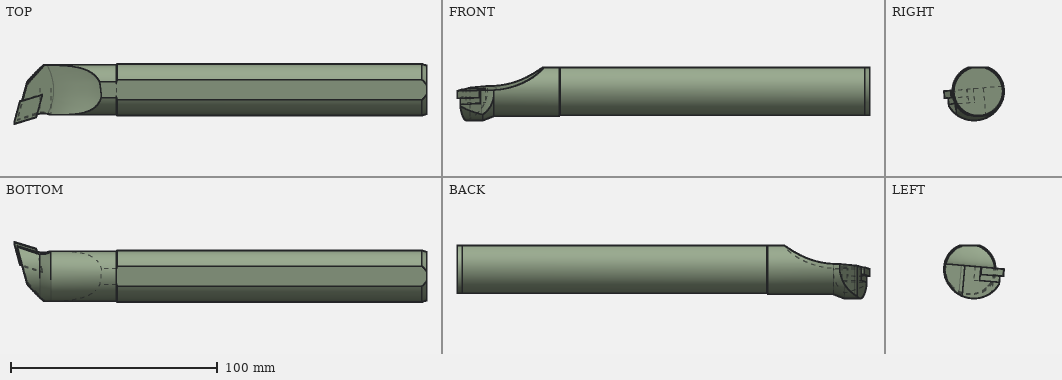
import cadquery as cq
import math

length = 199.5
shank_radius = 12.5
flat_height = 11.5
shank_start = 49.3
step_chamfer = 0.5
end_taper_length = 2.4
end_taper_depth = 0.8

neck_radius = 12.2
head_radius = 14.2
head_offset = neck_radius - head_radius
head_end = 12.4
neck_start = 17.5
clear = 40.0

rake_angle = 5.0
rake_height = 1.5

back_corner = (14.8, 12.2)
front_bevel_start = (7.5, 4.2)
front_bevel_end = (6.2, 2.4)
holder_nose = (1.4, -15.0)
relief_end_x = 11.5
relief_arc_middle = (14.5, -11.5)

gullet_edge_x = 19.0
gullet_edge_radius = 24.7
gullet_length = 23.0
gullet_sweep = 80.0
gullet_axis_x = gullet_edge_x - gullet_edge_radius
gullet_rise = flat_height - rake_height
gullet_radius = (gullet_length**2 + gullet_rise**2) / (2 * gullet_rise)

end_edge_angle = 17.0
side_edge_angle = 15.0
plate_side = 11.4
plate_thickness = 3.5
foot_side = 10.0
foot_thickness = 3.0
sharp_corner = (-0.2, -16.8)

end_direction = cq.Vector(math.cos(math.radians(end_edge_angle)), math.sin(math.radians(end_edge_angle)))
side_direction = cq.Vector(math.sin(math.radians(side_edge_angle)), math.cos(math.radians(side_edge_angle)))


def to_rake(body):
    """Move a body built on the XY plane onto the rake face."""
    return body.rotate((0, 0, 0), (1, 0, 0), rake_angle).translate((0, 0, rake_height))


def cylinder_x(radius, start, end, y=0.0):
    return cq.Workplane("YZ", origin=(start, 0, 0)).center(y, 0).circle(radius).extrude(end - start)


def make_shank():
    half_profile = [
        (shank_start, 0),
        (shank_start, shank_radius - step_chamfer),
        (shank_start + step_chamfer, shank_radius),
        (length - end_taper_length, shank_radius),
        (length, shank_radius - end_taper_depth),
        (length, 0),
    ]
    shank = cq.Workplane("XY").polyline(half_profile).close().revolve(360, (0, 0, 0), (1, 0, 0))
    between_flats = cq.Workplane("XY").box(2 * length, 2 * clear, 2 * flat_height)
    return shank.intersect(between_flats)


def make_head_blank():
    head = cylinder_x(head_radius, 0, head_end, head_offset)
    taper = (
        cq.Workplane("YZ", origin=(head_end, 0, 0))
        .center(head_offset, 0)
        .circle(head_radius)
        .workplane(offset=neck_start - head_end)
        .center(-head_offset, 0)
        .circle(neck_radius)
        .loft(ruled=True)
    )
    neck = cylinder_x(neck_radius, neck_start, shank_start)
    above_flat = cq.Workplane("XY").box(2 * length, 2 * clear, clear, centered=(True, True, False))
    return head.union(taper).union(neck).cut(above_flat.translate((0, 0, flat_height)))


def make_head_outline():
    """Region kept by the front bevels and by the relief below the cutting edge."""
    relief_rise = (relief_end_x - holder_nose[0]) * math.tan(math.radians(end_edge_angle))
    bevel_slope = (back_corner[1] - front_bevel_start[1]) / (back_corner[0] - front_bevel_start[0])
    outline = (
        cq.Workplane("XY")
        .moveTo(back_corner[0] + clear / bevel_slope, back_corner[1] + clear)
        .lineTo(*front_bevel_start)
        .lineTo(*front_bevel_end)
        .lineTo(*holder_nose)
        .lineTo(relief_end_x, holder_nose[1] + relief_rise)
        .threePointArc(relief_arc_middle, (neck_start, -neck_radius))
        .lineTo(neck_start, -clear)
        .lineTo(2 * clear, -clear)
        .lineTo(2 * clear, back_corner[1] + clear)
        .close()
        .extrude(clear, both=True)
    )
    return to_rake(outline)


def make_gullet():
    """Flat rake face that sweeps up through a tangent arc to the top flat and beyond."""
    def arc_point(angle):
        radial = gullet_edge_radius + gullet_radius * math.sin(angle)
        return radial, gullet_radius * (1 - math.cos(angle))

    arc_angle = math.radians(gullet_sweep)
    profile = (
        cq.Workplane("XZ")
        .moveTo(0, 0)
        .lineTo(gullet_edge_radius, 0)
        .threePointArc(arc_point(arc_angle / 2), arc_point(arc_angle))
        .lineTo(0, arc_point(arc_angle)[1])
        .close()
    )
    tool = profile.revolve(360, (0, 0, 0), (0, 1, 0))
    return to_rake(tool.translate((gullet_axis_x, 0, 0)))


def rhombus(corner, side, top, thickness):
    along_end = corner + end_direction * side
    along_side = corner + side_direction * side
    opposite = along_end + side_direction * side
    points = [(p.x, p.y) for p in (corner, along_end, opposite, along_side)]
    return cq.Workplane("XY", origin=(0, 0, top)).polyline(points).close().extrude(-thickness)


def make_insert():
    plate_corner = cq.Vector(*sharp_corner)
    foot_corner = plate_corner + (end_direction + side_direction) * (plate_side - foot_side)
    plate = rhombus(plate_corner, plate_side, 0, plate_thickness)
    foot = rhombus(foot_corner, foot_side, -plate_thickness, foot_thickness)
    ahead_of_nose = cq.Workplane("XY").box(clear, 2 * clear, clear).translate((-clear / 2, 0, 0))
    return to_rake(plate.union(foot).cut(ahead_of_nose))


insert = make_insert()
head = make_head_blank().intersect(make_head_outline()).cut(make_gullet())
holder = head.union(make_shank()).cut(insert)

result = cq.Compound.makeCompound([holder.val(), insert.val()])